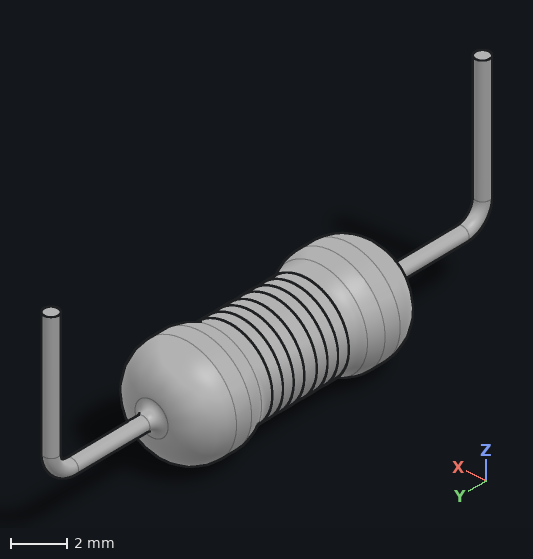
import cadquery as cq
import math


lead_span = 23.2
lead_radius = 0.35
bend_radius = 1.07
lead_top = 7.1
lead_axis_y = lead_span / 2 - lead_radius

body_half_length = 6.0
cap_radius = 2.5
dome_radius = 1.75
neck_fillet = 0.46
cap_inner_end = 3.48
shoulder_middle = 2.75
shoulder_foot = 2.0
core_radius = 2.123

band_radius = 2.13
band_width = 0.55
band_pitch = 2 * band_width


def shoulder_arc_middle(flat_y, flat_radius, join_y, join_radius):
    """Midpoint (radius, y) of the arc that leaves the flat parallel to Y and reaches the join."""
    run = join_y - flat_y
    drop = join_radius - flat_radius
    arc_radius = (run**2 + drop**2) / (2 * abs(drop))
    half_angle = math.asin(abs(run) / arc_radius) / 2
    middle_radius = flat_radius + math.copysign(arc_radius * (1 - math.cos(half_angle)), drop)
    middle_y = flat_y + math.copysign(arc_radius * math.sin(half_angle), run)
    return middle_radius, middle_y


def make_body_end():
    """Revolve the +Y end: S-curved shoulder, cap, dome and flared neck."""
    shoulder_slope = (cap_radius - core_radius) / (cap_inner_end - shoulder_foot)
    join_radius = core_radius + shoulder_slope * (shoulder_middle - shoulder_foot)
    foot_arc = shoulder_arc_middle(shoulder_foot, core_radius, shoulder_middle, join_radius)
    cap_arc = shoulder_arc_middle(cap_inner_end, cap_radius, shoulder_middle, join_radius)

    dome_center_r = cap_radius - dome_radius
    dome_center_y = body_half_length - dome_radius
    neck_center_r = lead_radius + neck_fillet
    touch_angle = math.acos((neck_center_r - dome_center_r) / (dome_radius + neck_fillet))
    neck_center_y = dome_center_y + (dome_radius + neck_fillet) * math.sin(touch_angle)

    def on_dome(angle):
        return (
            dome_center_r + dome_radius * math.cos(angle),
            dome_center_y + dome_radius * math.sin(angle),
        )

    neck_middle_angle = (touch_angle + math.pi / 2) / 2 + math.pi / 4
    neck_middle = (
        neck_center_r + neck_fillet * math.cos(neck_middle_angle),
        neck_center_y - neck_fillet * math.sin(neck_middle_angle),
    )

    return (
        cq.Workplane("XY")
        .moveTo(0, shoulder_foot)
        .lineTo(core_radius, shoulder_foot)
        .threePointArc(foot_arc, (join_radius, shoulder_middle))
        .threePointArc(cap_arc, (cap_radius, cap_inner_end))
        .lineTo(cap_radius, dome_center_y)
        .threePointArc(on_dome(touch_angle / 2), on_dome(touch_angle))
        .threePointArc(neck_middle, (lead_radius, neck_center_y))
        .lineTo(0, neck_center_y)
        .close()
        .revolve(360, (0, 0, 0), (0, 1, 0))
    )


def make_disc(center_y, radius, width):
    return (
        cq.Workplane("XZ", origin=(0, center_y + width / 2, 0))
        .circle(radius)
        .extrude(width)
    )


def make_lead():
    """One wire from tip to tip, running through the body."""
    bend_middle = bend_radius * (1 - math.sqrt(0.5))
    bend_start = lead_axis_y - bend_radius
    path = (
        cq.Workplane("YZ")
        .moveTo(-lead_axis_y, lead_top)
        .lineTo(-lead_axis_y, bend_radius)
        .threePointArc((-lead_axis_y + bend_middle, bend_middle), (-bend_start, 0))
        .lineTo(bend_start, 0)
        .threePointArc((lead_axis_y - bend_middle, bend_middle), (lead_axis_y, bend_radius))
        .lineTo(lead_axis_y, lead_top)
    )
    return (
        cq.Workplane("XY", origin=(0, -lead_axis_y, lead_top))
        .circle(lead_radius)
        .sweep(path)
    )


body_end = make_body_end()
core = make_disc(0, core_radius, 2 * shoulder_foot)
body = core.union(body_end).union(body_end.mirror("XZ"))

outer_band_y = shoulder_foot - band_width / 2
inner_band_y = outer_band_y - band_pitch
for band_y in (-outer_band_y, -inner_band_y, inner_band_y, outer_band_y):
    body = body.union(make_disc(band_y, band_radius, band_width))

result = body.union(make_lead())